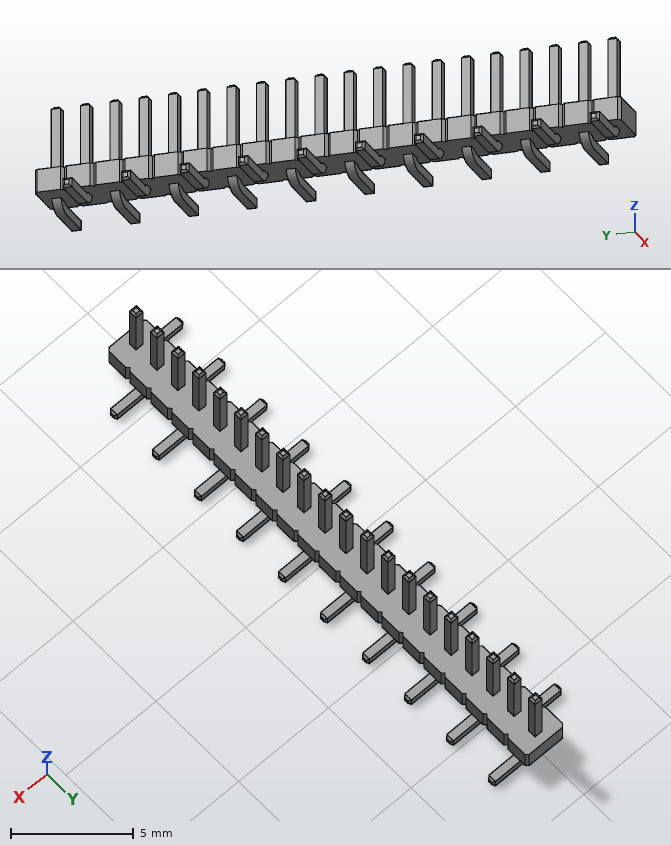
import cadquery as cq

pin_count = 20
pitch = 1.27
lead_span = 5.0
total_height = 4.5

body_width = 2.1
body_height = 1.0
body_bottom = 0.5
notch_size = pitch / 10

pin_size = 0.4
tip_chamfer = 0.1
inner_bend_radius = 0.4

row_length = pin_count * pitch
bend_radius = inner_bend_radius + pin_size / 2
lead_center_height = pin_size / 2
bend_end_height = lead_center_height + bend_radius


def pin_position(index):
    """Y coordinate of a pin, counted from the -Y end of the row."""
    return (index + 0.5) * pitch - row_length / 2


def housing_segment(y):
    """Octagonal block that surrounds one pin; neighbours meet in shallow V notches."""
    half_width = body_width / 2
    half_pitch = pitch / 2
    flat_x = half_width - notch_size
    flat_y = half_pitch - notch_size
    outline = [
        (half_width, flat_y),
        (flat_x, half_pitch),
        (-flat_x, half_pitch),
        (-half_width, flat_y),
        (-half_width, -flat_y),
        (-flat_x, -half_pitch),
        (flat_x, -half_pitch),
        (half_width, -flat_y),
    ]
    block = cq.Workplane("XY").polyline(outline).close().extrude(body_height)
    return block.translate((0, y, body_bottom))


def bent_pin(y, side):
    """Square wire: upright pin, quarter bend, then a flat lead towards side (+1 or -1) in X."""
    path = (
        cq.Workplane("XZ")
        .moveTo(0, total_height)
        .lineTo(0, bend_end_height)
        .radiusArc((bend_radius, lead_center_height), -bend_radius)
        .lineTo(lead_span / 2, lead_center_height)
    )
    wire = (
        cq.Workplane("XY")
        .workplane(offset=total_height)
        .rect(pin_size, pin_size)
        .sweep(path)
        .faces(">Z or >X")
        .chamfer(tip_chamfer)
    )
    if side < 0:
        wire = wire.mirror("YZ")
    return wire.translate((0, y, 0))


result = housing_segment(pin_position(0))
for index in range(1, pin_count):
    result = result.union(housing_segment(pin_position(index)))
result = result.clean()

for index in range(pin_count):
    lead_side = -1 if index % 2 == 0 else 1
    result = result.union(bent_pin(pin_position(index), lead_side))